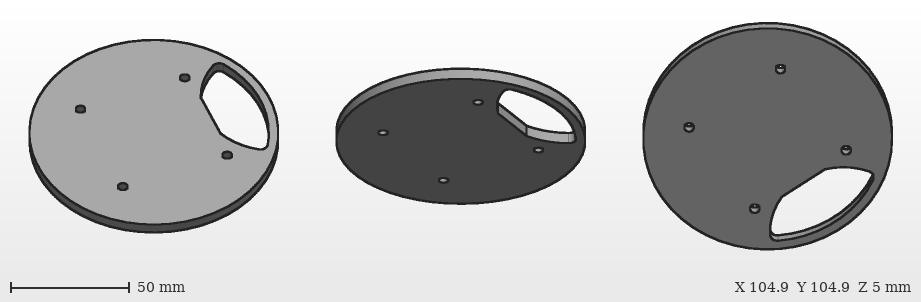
import cadquery as cq

plate_diameter = 104.9
plate_thickness = 5.0

hole_diameter = 4.0
hole_spacing = 47.4

rim_width = 4.0
window_outer_radius = plate_diameter / 2 - rim_width
window_side_radius = 30.8
window_side_center_y = 54.5
window_flat_y = 25.8
window_corner_radius = 3.0


def make_plate():
    return cq.Workplane("XY").circle(plate_diameter / 2).extrude(plate_thickness)


def make_window():
    outer_disc = cq.Workplane("XY").circle(window_outer_radius).extrude(plate_thickness)
    side_disc = (
        cq.Workplane("XY")
        .center(0, window_side_center_y)
        .circle(window_side_radius)
        .extrude(plate_thickness)
    )
    lens = outer_disc.intersect(side_disc)
    lens = lens.edges("|Z").edges("<X or >X").fillet(window_corner_radius)
    above_flat = (
        cq.Workplane("XY")
        .center(0, window_flat_y)
        .rect(plate_diameter, plate_diameter)
        .extrude(plate_thickness)
        .translate((0, plate_diameter / 2, 0))
    )
    return lens.intersect(above_flat)


def make_holes():
    return (
        cq.Workplane("XY")
        .rect(hole_spacing, hole_spacing, forConstruction=True)
        .vertices()
        .circle(hole_diameter / 2)
        .extrude(plate_thickness)
    )


result = make_plate().cut(make_window()).cut(make_holes())